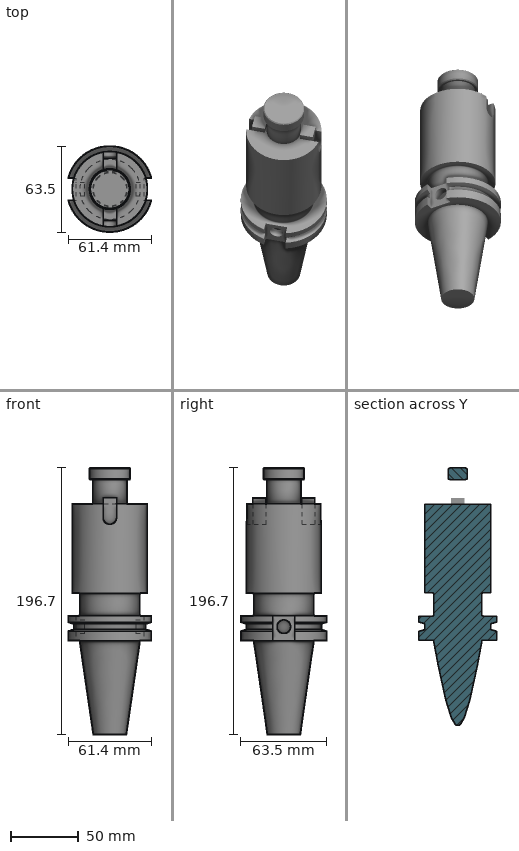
import cadquery as cq

gauge_diameter = 44.45
taper_ratio = 7 / 24
taper_length = 68.4
taper_end_diameter = gauge_diameter - taper_ratio * taper_length

flange_diameter = 63.5
flange_bottom = 0.9
flange_top = 19.1
groove_center = 11.1
groove_diameter = 55.8
groove_opening = 6.6
groove_floor_width = 4.15

drive_slot_width = 16.35
drive_slot_floor = 25.0
slot_hole_diameter = 10.0
slot_hole_depth = 6.0

neck_diameter = 44.45
neck_fillet = 0.7
body_diameter = 55.5
body_bottom = 35.8
body_top = 101.6
pilot_diameter = 25.4
pilot_top = 119.3

key_width = 10.0
key_bottom = 86.6
key_top = 106.1
key_inner = 13.2
key_outer = 22.9

head_diameter = 30.0
head_top = 128.3
head_chamfer = 0.7


def on_both_sides(shape):
    """Return the shape and its copy turned half a turn about Z."""
    return [shape.rotate((0, 0, 0), (0, 0, 1), angle) for angle in (0, 180)]


def key_prism(inner, outer, top):
    """Upright prism with a round lower end, reaching from y = -outer to y = -inner."""
    half_width = key_width / 2
    arc_center = key_bottom + half_width
    return (
        cq.Workplane("XZ", origin=(0, -inner, 0))
        .moveTo(-half_width, top)
        .lineTo(-half_width, arc_center)
        .threePointArc((0, key_bottom), (half_width, arc_center))
        .lineTo(half_width, top)
        .close()
        .extrude(outer - inner)
    )


def make_turned_blank():
    """Taper, grooved flange, neck, body and pilot turned as one profile about Z."""
    flange_radius = flange_diameter / 2
    groove_radius = groove_diameter / 2
    neck_radius = neck_diameter / 2
    blend_radius = neck_radius + neck_fillet
    body_radius = body_diameter / 2
    pilot_radius = pilot_diameter / 2
    return (
        cq.Workplane("XZ")
        .moveTo(0, -taper_length)
        .lineTo(taper_end_diameter / 2, -taper_length)
        .lineTo(gauge_diameter / 2, 0)
        .lineTo(gauge_diameter / 2, flange_bottom)
        .lineTo(flange_radius, flange_bottom)
        .lineTo(flange_radius, groove_center - groove_opening / 2)
        .lineTo(groove_radius, groove_center - groove_floor_width / 2)
        .lineTo(groove_radius, groove_center + groove_floor_width / 2)
        .lineTo(flange_radius, groove_center + groove_opening / 2)
        .lineTo(flange_radius, flange_top)
        .lineTo(blend_radius, flange_top)
        .radiusArc((neck_radius, flange_top + neck_fillet), neck_fillet)
        .lineTo(neck_radius, body_bottom - neck_fillet)
        .radiusArc((blend_radius, body_bottom), neck_fillet)
        .lineTo(body_radius, body_bottom)
        .lineTo(body_radius, body_top)
        .lineTo(pilot_radius, body_top)
        .lineTo(pilot_radius, pilot_top)
        .lineTo(0, pilot_top)
        .close()
        .revolve(360, (0, 0, 0), (0, 1, 0))
    )


def drive_slot_cutter():
    """Slot through the flange height on the -X side, with the hole in its floor."""
    slot = cq.Workplane("XY", origin=(0, 0, flange_bottom)).box(
        flange_diameter / 2 - drive_slot_floor,
        drive_slot_width,
        flange_top - flange_bottom,
        centered=(False, True, False),
    ).translate((-flange_diameter / 2, 0, 0))
    hole = (
        cq.Workplane("YZ", origin=(-drive_slot_floor, 0, groove_center))
        .circle(slot_hole_diameter / 2)
        .extrude(slot_hole_depth)
    )
    return slot.union(hole)


def make_holder():
    holder = make_turned_blank()
    key_slot_cutter = key_prism(key_inner, body_diameter / 2, body_top)
    for cutter in on_both_sides(drive_slot_cutter()) + on_both_sides(key_slot_cutter):
        holder = holder.cut(cutter)
    return holder


def make_screw_head():
    """Round head with both rims chamfered."""
    return (
        cq.Workplane("XY", origin=(0, 0, pilot_top))
        .circle(head_diameter / 2)
        .extrude(head_top - pilot_top)
        .edges()
        .chamfer(head_chamfer)
    )


holder = make_holder()
drive_keys = on_both_sides(key_prism(key_inner, key_outer, key_top))
screw_head = make_screw_head()

result = cq.Compound.makeCompound(
    [holder.val(), *[key.val() for key in drive_keys], screw_head.val()]
)